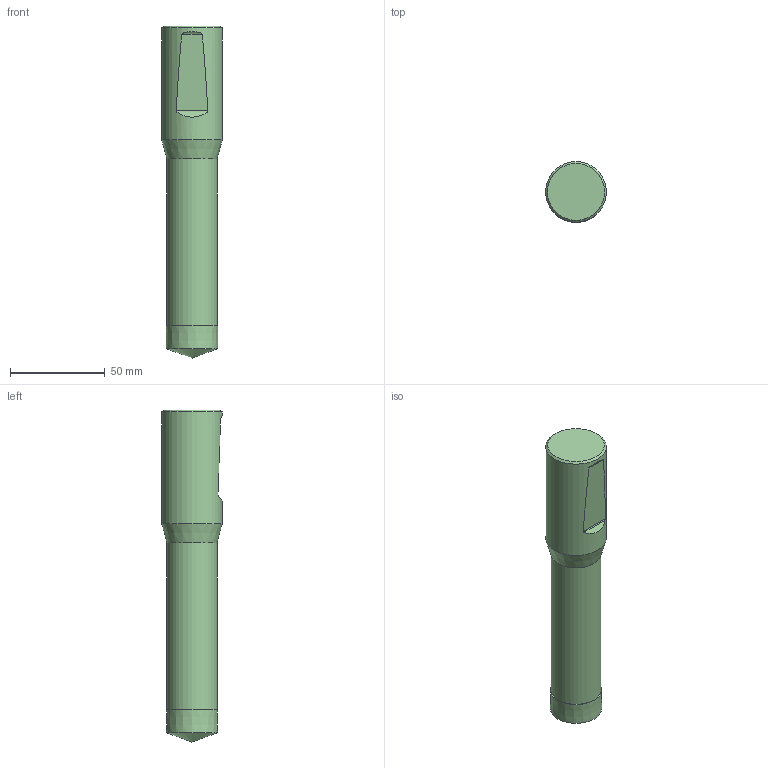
import cadquery as cq
import math

overall_length = 175.0
shank_length = 60.0
neck_length = 10.0
holder_bottom = 17.0

shank_radius = 32.0 / 2
shaft_radius = 26.4 / 2
top_chamfer = 1.0

tip_cutting_radius = 27.0 / 2
tip_back_radius = 26.96 / 2
tip_point_angle = 140.0

flat_tilt = 2.0
flat_top = 170.95
flat_bottom = 129.9
flat_bottom_depth = 2.36
flat_end_angle = 51.0
flat_bottom_corner_radius = 1.0
flat_top_corner_radius = 1.5
cutter_clearance = 2.0

shank_bottom = overall_length - shank_length
neck_bottom = shank_bottom - neck_length
tip_point_height = tip_cutting_radius / math.tan(math.radians(tip_point_angle / 2))


def revolve_about_z(profile):
    """Turn a closed (radius, height) outline around the Z axis."""
    return cq.Workplane("XZ").polyline(profile).close().revolve(360, (0, 0), (0, 1))


def make_flat_cutter():
    """Trough with a tilted floor, sloping ends and rounded floor corners."""
    outer_y = -shank_radius - cutter_clearance
    end_slope = math.tan(math.radians(flat_end_angle))
    bottom_y = -shank_radius + flat_bottom_depth
    top_y = bottom_y - (flat_top - flat_bottom) * math.tan(math.radians(flat_tilt))
    profile = [
        (bottom_y, flat_bottom),
        (top_y, flat_top),
        (outer_y, flat_top + (top_y - outer_y) * end_slope),
        (outer_y, flat_bottom - (bottom_y - outer_y) * end_slope),
    ]
    trough = cq.Workplane("YZ").polyline(profile).close().extrude(shank_radius, both=True)
    bottom_corner = cq.NearestToPointSelector((0, bottom_y, flat_bottom))
    top_corner = cq.NearestToPointSelector((0, top_y, flat_top))
    trough = trough.edges(bottom_corner).fillet(flat_bottom_corner_radius)
    return trough.edges(top_corner).fillet(flat_top_corner_radius)


def make_holder():
    """Shank, conical neck and shaft turned as one piece, with the clamping flat cut in."""
    body = revolve_about_z([
        (0, holder_bottom),
        (shaft_radius, holder_bottom),
        (shaft_radius, neck_bottom),
        (shank_radius, shank_bottom),
        (shank_radius, overall_length - top_chamfer),
        (shank_radius - top_chamfer, overall_length),
        (0, overall_length),
    ])
    return body.cut(make_flat_cutter())


def make_tip():
    """Drill tip seated flat against the bottom of the holder."""
    return revolve_about_z([
        (0, 0),
        (tip_cutting_radius, tip_point_height),
        (tip_back_radius, holder_bottom),
        (0, holder_bottom),
    ])


holder = make_holder()
tip = make_tip()

result = cq.Compound.makeCompound([holder.val(), tip.val()])